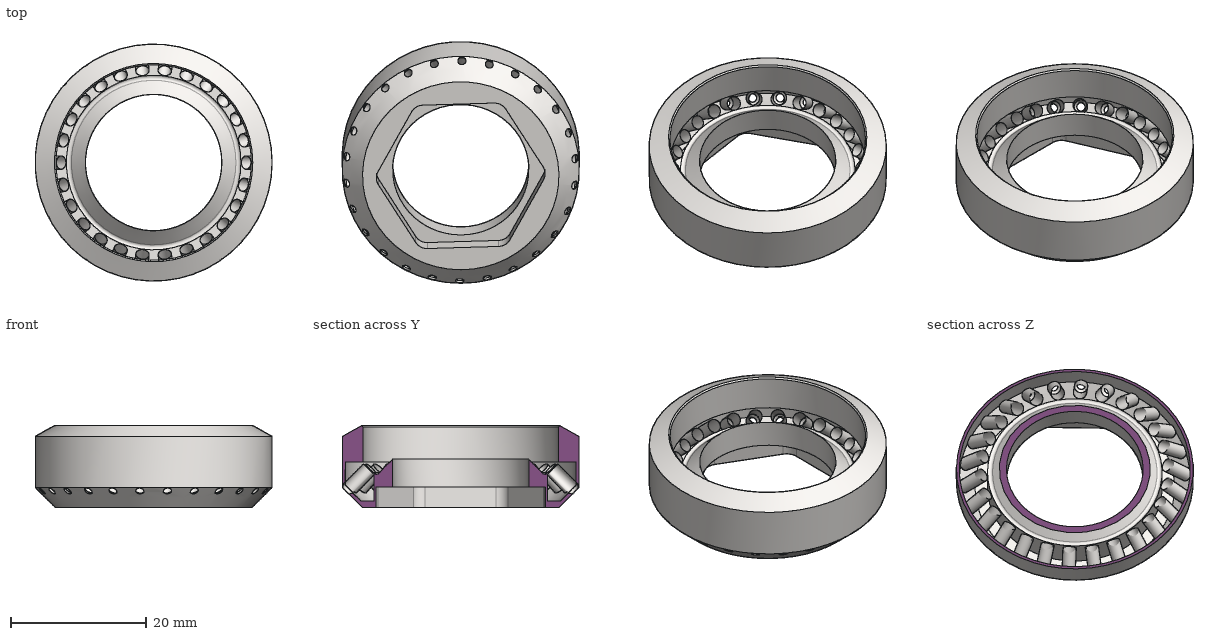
import cadquery as cq

outer_radius = 17.5
height = 12.15
top_chamfer_height = 1.6
base_chamfer = 3.0
rim_radius = 14.63

recess_radius = 14.42
rim_bevel_height = 0.2
shell_wall = 0.5
cavity_radius = outer_radius - shell_wall
cavity_top_z = 6.72
cavity_cone_z = 3.3
cavity_floor_z = 1.0
cavity_floor_radius = cavity_radius - (cavity_cone_z - cavity_floor_z)

bore_radius = 10.05
hub_top_z = 7.2
groove_inner_radius = 12.15
groove_outer_radius = 12.88
groove_inner_z = hub_top_z - (groove_inner_radius - bore_radius)
groove_outer_z = 5.18

hex_across_flats = 22.12
hex_corner_fillet = 2.0
hex_depth = 3.05
hex_turn = 30.0

nozzle_count = 26
nozzle_diameter = 2.0
nozzle_bore_diameter = 1.95
nozzle_bore_depth = 4.1
taper_depth = 0.55
exit_diameter = 1.2
mouth_radius = 13.65
mouth_z = 5.78
nozzle_length = 4.27
exit_length = 6.3


def ring_body():
    """Revolve the ring section about Z."""
    section = (
        cq.Workplane("XZ")
        .moveTo(bore_radius, 0)
        .lineTo(outer_radius - base_chamfer, 0)
        .lineTo(outer_radius, base_chamfer)
        .lineTo(outer_radius, height - top_chamfer_height)
        .lineTo(rim_radius, height)
        .lineTo(recess_radius, height - rim_bevel_height)
        .lineTo(recess_radius, cavity_top_z)
        .lineTo(cavity_radius, cavity_top_z)
        .lineTo(cavity_radius, cavity_cone_z)
        .lineTo(cavity_floor_radius, cavity_floor_z)
        .lineTo(groove_outer_radius, cavity_floor_z)
        .lineTo(groove_outer_radius, groove_outer_z)
        .lineTo(groove_inner_radius, groove_inner_z)
        .lineTo(bore_radius, hub_top_z)
        .close()
    )
    return section.revolve(360, (0, 0, 0), (0, 1, 0))


def foot_groove():
    """Ring-shaped groove whose section is an arc tangent to the hub cone."""
    section = (
        cq.Workplane("XZ")
        .moveTo(bore_radius, hub_top_z)
        .lineTo(groove_inner_radius, groove_inner_z)
        .tangentArcPoint((groove_outer_radius, groove_outer_z), relative=False)
        .lineTo(groove_outer_radius, hub_top_z)
        .close()
    )
    return section.revolve(360, (0, 0, 0), (0, 1, 0))


def hex_pocket():
    """Hexagon with two flats square to Y and rounded corners."""
    hexagon = (
        cq.Workplane("XY")
        .polygon(6, hex_across_flats, circumscribed=True)
        .extrude(hex_depth)
        .rotate((0, 0, 0), (0, 0, 1), hex_turn)
    )
    return hexagon.edges("|Z").fillet(hex_corner_fillet)


def around_axis(shape):
    """Copies of a shape spaced evenly about Z."""
    step = 360 / nozzle_count
    return [shape.rotate((0, 0, 0), (0, 0, 1), index * step) for index in range(nozzle_count)]


mouth_centre = cq.Vector(mouth_radius, 0, mouth_z)
outward = cq.Vector(1, 0, -1).normalized()


def nozzle_passage():
    """Wide bore from the mouth, a short taper, then the narrow exit hole."""
    bore_end = mouth_centre + outward * nozzle_bore_depth
    bore = cq.Solid.makeCylinder(nozzle_bore_diameter / 2, nozzle_bore_depth, mouth_centre, outward)
    taper = cq.Solid.makeCone(nozzle_bore_diameter / 2, exit_diameter / 2, taper_depth, bore_end, outward)
    exit_hole = cq.Solid.makeCylinder(exit_diameter / 2, exit_length, mouth_centre, outward)
    return bore.fuse(taper, exit_hole)


nozzle = cq.Solid.makeCylinder(nozzle_diameter / 2, nozzle_length, mouth_centre, outward)

result = ring_body().cut(foot_groove()).cut(hex_pocket())
for tube in around_axis(nozzle):
    result = result.union(cq.Workplane(tube))
for passage in around_axis(nozzle_passage()):
    result = result.cut(cq.Workplane(passage))